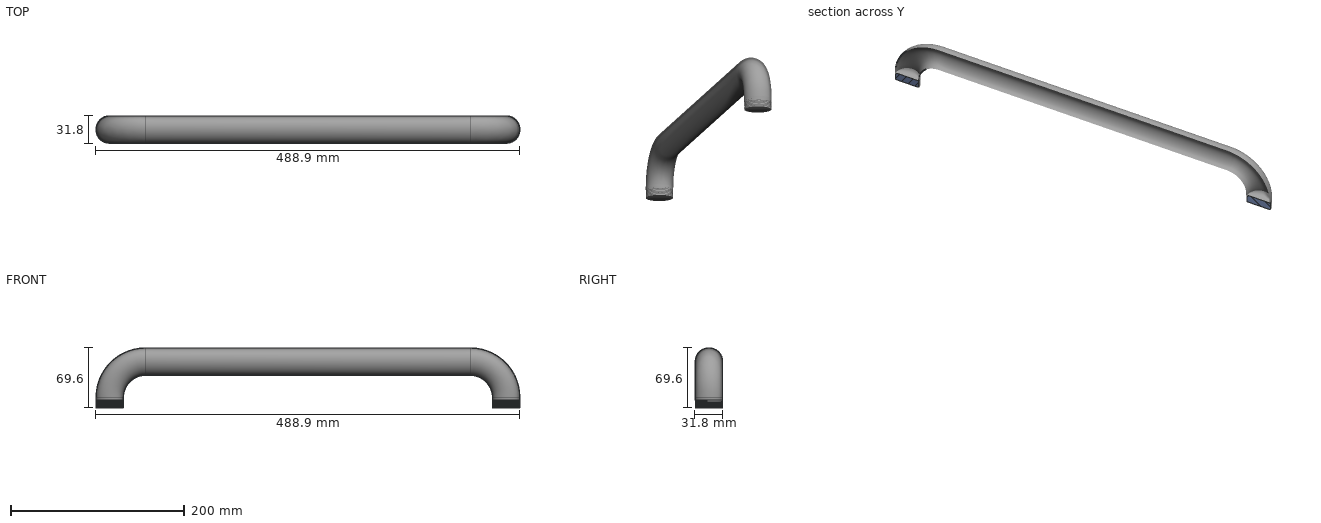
import cadquery as cq

tube_diameter = 31.75
tube_wall = 1.245
overall_length = 488.95
overall_height = 69.6
bend_radius = 41.275

collar_height = 9.4
collar_inset = 0.125
spigot_height = 1.5
spigot_clearance = 0.25

thread_pitch = 1.5875
thread_depth = 0.5
thread_start_z = -0.3
thread_top_land = 1.2
thread_turn = 225
groove_half_width = 0.4 * thread_pitch
cutter_overhang = thread_depth / 4
seam_angle = 45

tube_radius = tube_diameter / 2
bore_radius = tube_radius - tube_wall
collar_radius = tube_radius - collar_inset
spigot_radius = bore_radius - spigot_clearance
leg_x = overall_length / 2 - tube_radius
bar_z = overall_height - tube_radius
bend_start_z = bar_z - bend_radius
bend_end_x = leg_x - bend_radius

Z_AXIS = ((0, 0, 0), (0, 0, 1))


def make_handle():
    """Hollow tube: two short legs, two quarter bends and the straight bar between them."""
    path = (
        cq.Workplane("XZ")
        .moveTo(-leg_x, collar_height)
        .lineTo(-leg_x, bend_start_z)
        .radiusArc((-bend_end_x, bar_z), bend_radius)
        .lineTo(bend_end_x, bar_z)
        .radiusArc((leg_x, bend_start_z), bend_radius)
        .lineTo(leg_x, collar_height)
    )
    leg_end = cq.Workplane("XY", origin=(-leg_x, 0, collar_height))
    return leg_end.circle(tube_radius).circle(bore_radius).sweep(path)


def make_thread_cutter():
    """V-shaped helical groove that runs out through the bottom of the collar."""
    root_radius = collar_radius - thread_depth
    mouth_radius = collar_radius + cutter_overhang
    helix_height = collar_height - thread_top_land - thread_start_z
    helix_base = cq.Vector(0, 0, thread_start_z)
    helix = cq.Wire.makeHelix(thread_pitch, helix_height, root_radius, center=helix_base)
    corners = [
        cq.Vector(root_radius, 0, thread_start_z),
        cq.Vector(mouth_radius, 0, thread_start_z + groove_half_width),
        cq.Vector(mouth_radius, 0, thread_start_z - groove_half_width),
    ]
    groove = cq.Wire.makePolygon(corners, close=True)
    return cq.Workplane(cq.Solid.sweep(groove, [], helix, True, True))


def make_end_plug(x):
    """Threaded collar with a short spigot that enters the mouth of the tube."""
    collar = cq.Workplane("XY").circle(collar_radius).extrude(collar_height).rotate(*Z_AXIS, seam_angle)
    collar = collar.cut(make_thread_cutter()).rotate(*Z_AXIS, thread_turn)
    spigot = cq.Workplane("XY", origin=(0, 0, collar_height)).circle(spigot_radius).extrude(spigot_height)
    return collar.union(spigot).translate((x, 0, 0))


handle = make_handle()
end_plugs = [make_end_plug(x) for x in (-leg_x, leg_x)]

result = cq.Compound.makeCompound([handle.val(), *[plug.val().Solids()[0] for plug in end_plugs]])